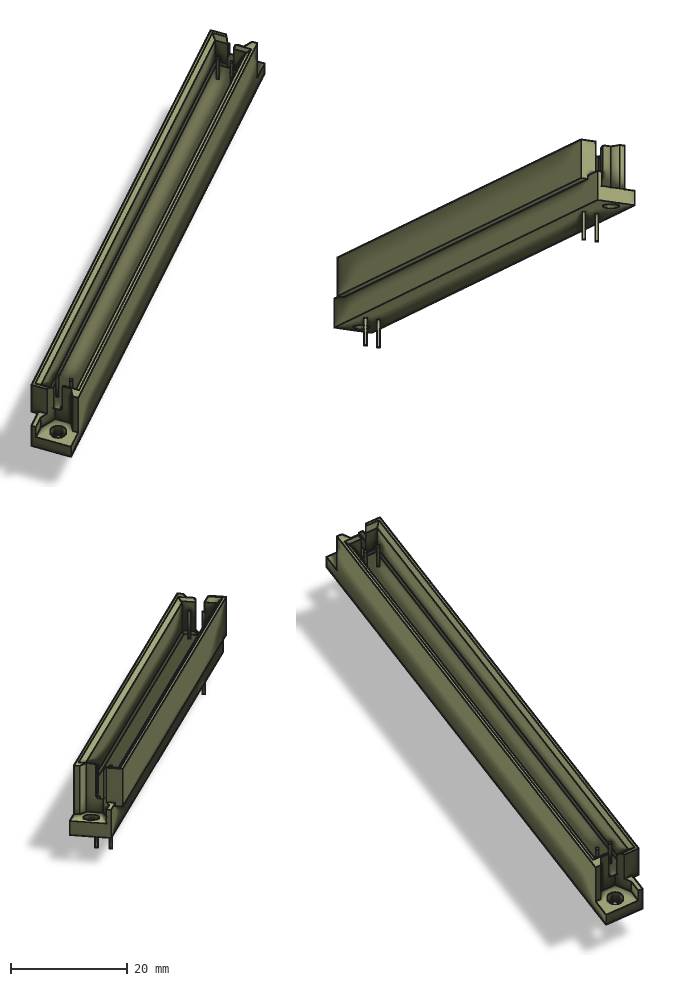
import cadquery as cq
import math

overall_length = 95.0
overall_width = 8.6
housing_height = 11.5
half_length = overall_length / 2
half_width = overall_width / 2

base_setback = 1.3
base_height = 5.2
base_left = base_setback - half_width

shroud_length = 87.9
shroud_bottom = 4.6
half_shroud = shroud_length / 2

wall_thickness = 1.3
rim_width = 0.5
lead_in = wall_thickness - rim_width
cavity_floor = 5.1
cavity_half_x = half_width - wall_thickness
cavity_half_y = half_shroud - wall_thickness
floor_chamfer = 0.4

hole_pitch = 90.0
hole_diameter = 2.8
hole_x = 1.0
ear_floor = 2.6
recess_left = -2.15
recess_end_y = 42.4
recess_end_left = -0.55
recess_end_right = 2.4
recess_slope = math.tan(math.radians(60))

slot_left = -0.65
slot_right = 0.75
slot_rounding = 0.45
pad_inner_y = 41.7
pad_lead_in = 0.55
pad_foot_size = 0.5

pin_diameter = 0.55
contact_height = 5.1
tail_length = 4.9
row_spacing = 2.54
contact_pitch = 2.54
pitches_between_ends = 31
contact_span = pitches_between_ends * contact_pitch


def box(x_min, x_max, y_min, y_max, z_min, z_max):
    return cq.Workplane("XY").box(
        x_max - x_min, y_max - y_min, z_max - z_min, centered=False
    ).translate((x_min, y_min, z_min))


def sloped_block(half_x, half_y, z_min, height, spread):
    """Rectangular block on the Z axis whose half sizes change by spread from bottom to top."""
    return (
        cq.Workplane("XY", origin=(0, 0, z_min))
        .rect(2 * half_x, 2 * half_y)
        .workplane(offset=height)
        .rect(2 * (half_x + spread), 2 * (half_y + spread))
        .loft(ruled=True)
    )


def make_cavity():
    walls_bottom = cavity_floor + floor_chamfer
    walls = box(-cavity_half_x, cavity_half_x, -cavity_half_y, cavity_half_y, walls_bottom, housing_height)
    mouth = sloped_block(cavity_half_x, cavity_half_y, housing_height - lead_in, lead_in, lead_in)
    bottom = sloped_block(cavity_half_x - floor_chamfer, cavity_half_y - floor_chamfer,
                          cavity_floor, floor_chamfer, floor_chamfer)
    return walls.union(mouth).union(bottom)


def make_pad():
    """Thickened end wall at +Y, on the +X side of the keyway."""
    pad = box(slot_right, half_width, pad_inner_y, half_shroud, cavity_floor, housing_height)
    return pad.faces("<Y").edges(">Z").chamfer(pad_lead_in)


def make_pad_foot():
    """Sloping foot along the pad's keyway side and inner side, where the pad meets the floor."""
    half_x = half_width - slot_right + pad_foot_size
    half_y = half_shroud - pad_inner_y + pad_foot_size
    foot = sloped_block(half_x, half_y, cavity_floor, pad_foot_size, -pad_foot_size)
    foot = foot.translate((half_width, half_shroud, 0))
    return foot.intersect(box(0, half_width, 0, half_shroud, 0, housing_height))


def make_recess():
    """Stepped-down clearance above the +Y ear."""
    left_run = (recess_end_left - recess_left) * recess_slope
    right_x = recess_end_right + (half_shroud - recess_end_y) / recess_slope
    return (
        cq.Workplane("XY", origin=(0, 0, ear_floor))
        .polyline([
            (recess_left, half_length),
            (recess_left, recess_end_y + left_run),
            (recess_end_left, recess_end_y),
            (recess_end_right, recess_end_y),
            (right_x, half_shroud),
            (half_width, half_shroud),
            (half_width, half_length),
        ])
        .close()
        .extrude(housing_height - ear_floor)
    )


def make_slot():
    """Keyway with rounded top edges, cut through both end walls."""
    radius = slot_rounding
    return (
        cq.Workplane("XZ")
        .moveTo(slot_left, base_height)
        .lineTo(slot_right, base_height)
        .lineTo(slot_right, housing_height - radius)
        .radiusArc((slot_right + radius, housing_height), radius)
        .lineTo(slot_left - radius, housing_height)
        .radiusArc((slot_left, housing_height - radius), radius)
        .close()
        .extrude(half_length, both=True)
    )


def both_ends(shape):
    return shape.union(shape.mirror("XZ"))


def make_housing():
    base = box(base_left, half_width, -half_length, half_length, 0, base_height)
    shroud = box(-half_width, half_width, -half_shroud, half_shroud, shroud_bottom, housing_height)
    holes = (
        cq.Workplane("XY")
        .pushPoints([(hole_x, -hole_pitch / 2), (hole_x, hole_pitch / 2)])
        .circle(hole_diameter / 2)
        .extrude(base_height)
    )
    housing = base.union(shroud).cut(make_cavity()).union(both_ends(make_pad()))
    housing = housing.cut(make_slot()).union(both_ends(make_pad_foot()))
    return housing.cut(both_ends(make_recess())).cut(holes)


def make_pin(x, y, z_min, height):
    return cq.Workplane("XY", origin=(x, y, z_min)).circle(pin_diameter / 2).extrude(height)


housing = make_housing()
contacts = []
tails = []
for x in (-row_spacing / 2, row_spacing / 2):
    for y in (-contact_span / 2, contact_span / 2):
        contacts.append(make_pin(x, y, cavity_floor, contact_height).val())
        tails.append(make_pin(x, y, -tail_length, tail_length).val())

result = cq.Compound.makeCompound([housing.val(), *contacts, *tails])